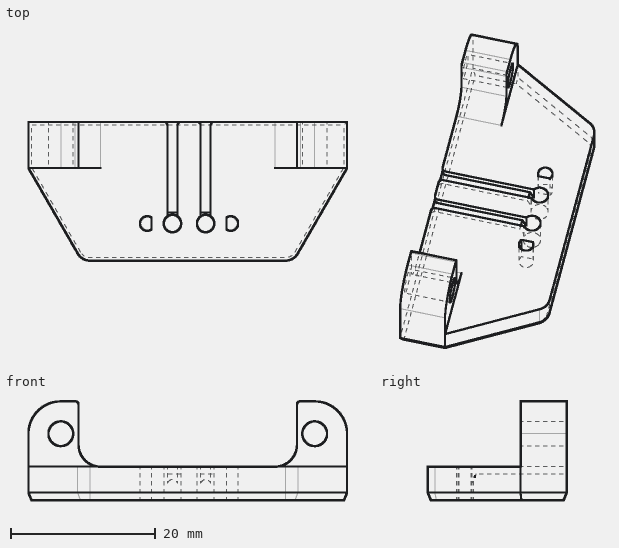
import cadquery as cq
import math

length = 44.05
depth = 19.2
height = 13.7
plate_thickness = 4.65
side_angle = 60.0
front_corner_radius = 2.0
bevel_height = 1.05
bevel_width = 0.45

lug_depth = 6.4
lug_width = 6.95
lug_outer_radius = 4.5
lug_tip_radius = 0.5
lug_root_radius = 3.0
lug_hole_diameter = 3.4

pattern_x = 0.18
hole_row_y = -14.05
wire_hole_diameter = 2.4
wire_hole_offset = 2.3
pin_hole_diameter = 2.0
pin_hole_offset = 5.75
pin_flat_distance = 0.57
groove_width = 1.4
groove_depth = 1.0
groove_floor_length = 12.5
groove_ramp_angle = 65.0
groove_mouth_radius = 0.5

half_length = length / 2


def make_plate():
    slant_run = (depth - lug_depth) / math.tan(math.radians(side_angle))
    front_half_length = half_length - slant_run
    plate = (
        cq.Workplane("XY", origin=(0, 0, bevel_height))
        .polyline([
            (-half_length, 0),
            (-half_length, -lug_depth),
            (-front_half_length, -depth),
            (front_half_length, -depth),
            (half_length, -lug_depth),
            (half_length, 0),
        ])
        .close()
        .extrude(plate_thickness - bevel_height)
    )
    plate = plate.edges("|Z").edges("<Y").fillet(front_corner_radius)
    bevel_angle = math.degrees(math.atan2(bevel_width, bevel_height))
    bevel = plate.faces("<Z").wires().toPending().extrude(-bevel_height, combine=False, taper=bevel_angle)
    return plate.union(bevel)


def make_left_lug():
    inner_x = -half_length + lug_width
    hole_x = -half_length + lug_outer_radius
    hole_z = height - lug_outer_radius
    diagonal = math.sqrt(0.5)
    lug = (
        cq.Workplane("XZ")
        .moveTo(-half_length, bevel_height)
        .lineTo(-half_length, hole_z)
        .threePointArc(
            (hole_x - lug_outer_radius * diagonal, hole_z + lug_outer_radius * diagonal),
            (hole_x, height),
        )
        .lineTo(inner_x - lug_tip_radius, height)
        .radiusArc((inner_x, height - lug_tip_radius), lug_tip_radius)
        .lineTo(inner_x, plate_thickness + lug_root_radius)
        .radiusArc((inner_x + lug_root_radius, plate_thickness), -lug_root_radius)
        .lineTo(inner_x + lug_root_radius, bevel_height)
        .close()
        .extrude(lug_depth)
    )
    hole = (
        cq.Workplane("XZ")
        .center(hole_x, hole_z)
        .circle(lug_hole_diameter / 2)
        .extrude(lug_depth)
    )
    return lug.cut(hole)


def make_groove(x):
    floor_z = plate_thickness - groove_depth
    ramp_run = -hole_row_y - groove_floor_length
    ramp_drop = ramp_run * math.tan(math.radians(groove_ramp_angle))
    channel = (
        cq.Workplane("YZ")
        .polyline([
            (0, plate_thickness),
            (0, floor_z),
            (-groove_floor_length, floor_z),
            (hole_row_y, floor_z - ramp_drop),
            (hole_row_y, plate_thickness),
        ])
        .close()
        .extrude(groove_width / 2, both=True)
    )
    half_width = groove_width / 2
    half_mouth = half_width + groove_mouth_radius
    mouth = (
        cq.Workplane("XY")
        .workplane(offset=floor_z)
        .moveTo(-half_mouth, 0)
        .radiusArc((-half_width, -groove_mouth_radius), groove_mouth_radius)
        .lineTo(half_width, -groove_mouth_radius)
        .radiusArc((half_mouth, 0), groove_mouth_radius)
        .close()
        .extrude(groove_depth)
    )
    return channel.union(mouth).translate((x, 0, 0))


def make_wire_hole(x):
    return (
        cq.Workplane("XY")
        .center(x, hole_row_y)
        .circle(wire_hole_diameter / 2)
        .extrude(plate_thickness)
    )


def make_pin_hole(side):
    """D-shaped hole whose flat faces the wire holes; side is -1 or 1."""
    radius = pin_hole_diameter / 2
    flat_half_height = math.sqrt(radius**2 - pin_flat_distance**2)
    return (
        cq.Workplane("XY")
        .center(pattern_x + side * pin_hole_offset, hole_row_y)
        .moveTo(-side * pin_flat_distance, -flat_half_height)
        .threePointArc((side * radius, 0), (-side * pin_flat_distance, flat_half_height))
        .close()
        .extrude(plate_thickness)
    )


left_lug = make_left_lug()
result = make_plate().union(left_lug).union(left_lug.mirror("YZ"))
for side in (-1, 1):
    wire_x = pattern_x + side * wire_hole_offset
    result = result.cut(make_groove(wire_x)).cut(make_wire_hole(wire_x)).cut(make_pin_hole(side))